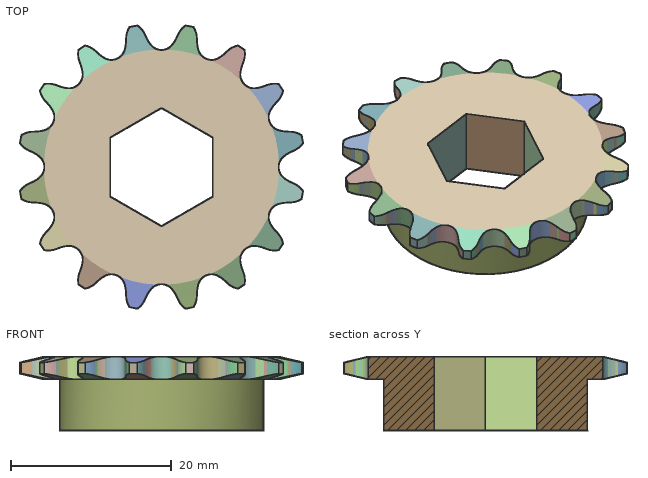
import cadquery as cq
import math

TOOTH_COUNT = 16
PITCH = 6.35
ROLLER_DIAMETER = 3.302

OVERALL_HEIGHT = 9.18
HUB_HEIGHT = 6.35
HUB_DIAMETER = 25.4
HEX_ACROSS_FLATS = 12.7

FLAT_FACE_RADIUS = 14.63
TIP_THICKNESS = 1.37

PLATE_THICKNESS = OVERALL_HEIGHT - HUB_HEIGHT
PITCH_ANGLE = 2 * math.pi / TOOTH_COUNT
HALF_PITCH_ANGLE = PITCH_ANGLE / 2
PITCH_RADIUS = PITCH / 2 / math.sin(HALF_PITCH_ANGLE)
ADDENDUM_FACTOR = 0.6
OUTSIDE_RADIUS = PITCH / 2 * (ADDENDUM_FACTOR + 1 / math.tan(HALF_PITCH_ANGLE))

SEATING_CLEARANCE = 0.0762
SEATING_RADIUS = (1.005 * ROLLER_DIAMETER + SEATING_CLEARANCE) / 2
SEATING_ANGLE = math.radians(35 + 60 / TOOTH_COUNT)
WORKING_ANGLE = math.radians(18 - 56 / TOOTH_COUNT)
TOPPING_ANGLE = math.radians(17 - 64 / TOOTH_COUNT)
WORKING_CENTER_DISTANCE = 0.8 * ROLLER_DIAMETER
TOPPING_CENTER_DISTANCE = 1.4 * ROLLER_DIAMETER
WORKING_RADIUS = WORKING_CENTER_DISTANCE + SEATING_RADIUS
TOPPING_RADIUS = (
    WORKING_CENTER_DISTANCE * math.cos(WORKING_ANGLE)
    + TOPPING_CENTER_DISTANCE * math.cos(TOPPING_ANGLE)
    - WORKING_RADIUS
)


def polar_offset(center, radius, angle):
    """Point at the given radius and angle around a center."""
    return (center[0] + radius * math.cos(angle), center[1] + radius * math.sin(angle))


def tip_corner_angle(topping_center):
    """Angle around the center where the topping arc meets the outside circle."""
    center_distance = math.hypot(*topping_center)
    cosine = (center_distance**2 + OUTSIDE_RADIUS**2 - TOPPING_RADIUS**2) / (
        2 * center_distance * OUTSIDE_RADIUS
    )
    return math.atan2(topping_center[1], topping_center[0]) + math.acos(cosine)


def tooth_gap():
    """Cutter for the space between two teeth, centered on +Y."""
    roller_center = (0, PITCH_RADIUS)
    working_center = polar_offset(roller_center, WORKING_CENTER_DISTANCE, math.pi - SEATING_ANGLE)
    topping_center = polar_offset(roller_center, TOPPING_CENTER_DISTANCE, -HALF_PITCH_ANGLE)
    flank_angle = WORKING_ANGLE - SEATING_ANGLE

    root = polar_offset(roller_center, SEATING_RADIUS, -math.pi / 2)
    seat_end = polar_offset(roller_center, SEATING_RADIUS, -SEATING_ANGLE)
    working_mid = polar_offset(working_center, WORKING_RADIUS, flank_angle - WORKING_ANGLE / 2)
    working_end = polar_offset(working_center, WORKING_RADIUS, flank_angle)
    topping_angle_start = math.pi + flank_angle
    topping_start = polar_offset(topping_center, TOPPING_RADIUS, topping_angle_start)
    tip = polar_offset((0, 0), OUTSIDE_RADIUS, tip_corner_angle(topping_center))
    topping_angle_end = math.atan2(tip[1] - topping_center[1], tip[0] - topping_center[0])
    topping_angle_mid = (topping_angle_start + topping_angle_end) / 2
    topping_mid = polar_offset(topping_center, TOPPING_RADIUS, topping_angle_mid)
    gap_top = OUTSIDE_RADIUS + PITCH

    def mirrored(point):
        """Matching point on the other side of the gap."""
        return (-point[0], point[1])

    return (
        cq.Workplane("XY")
        .moveTo(*mirrored(seat_end))
        .threePointArc(root, seat_end)
        .threePointArc(working_mid, working_end)
        .lineTo(*topping_start)
        .threePointArc(topping_mid, tip)
        .lineTo(tip[0], gap_top)
        .lineTo(-tip[0], gap_top)
        .lineTo(*mirrored(tip))
        .threePointArc(mirrored(topping_mid), mirrored(topping_start))
        .lineTo(*mirrored(working_end))
        .threePointArc(mirrored(working_mid), mirrored(seat_end))
        .close()
        .extrude(OVERALL_HEIGHT)
    )


def beveled_disc():
    """Sprocket blank, turned thinner toward the rim on both faces."""
    bevel_depth = (PLATE_THICKNESS - TIP_THICKNESS) / 2
    return (
        cq.Workplane("XZ")
        .moveTo(0, HUB_HEIGHT)
        .lineTo(FLAT_FACE_RADIUS, HUB_HEIGHT)
        .lineTo(OUTSIDE_RADIUS, HUB_HEIGHT + bevel_depth)
        .lineTo(OUTSIDE_RADIUS, OVERALL_HEIGHT - bevel_depth)
        .lineTo(FLAT_FACE_RADIUS, OVERALL_HEIGHT)
        .lineTo(0, OVERALL_HEIGHT)
        .close()
        .revolve(360, (0, 0), (0, 1))
    )


def toothed_plate():
    """Blank with the tooth gaps cut evenly around it, starting on the +Y axis."""
    plate = beveled_disc()
    gap = tooth_gap()
    for index in range(TOOTH_COUNT):
        plate = plate.cut(gap.rotate((0, 0, 0), (0, 0, 1), math.degrees(index * PITCH_ANGLE)))
    return plate


def hub():
    """Plain round hub below the plate."""
    return cq.Workplane("XY").circle(HUB_DIAMETER / 2).extrude(HUB_HEIGHT)


def hex_bore():
    """Through bore with two of its corners on the Y axis."""
    across_corners = HEX_ACROSS_FLATS / math.cos(math.pi / 6)
    bore = cq.Workplane("XY").polygon(6, across_corners).extrude(OVERALL_HEIGHT)
    return bore.rotate((0, 0, 0), (0, 0, 1), 90)


result = toothed_plate().union(hub()).cut(hex_bore())